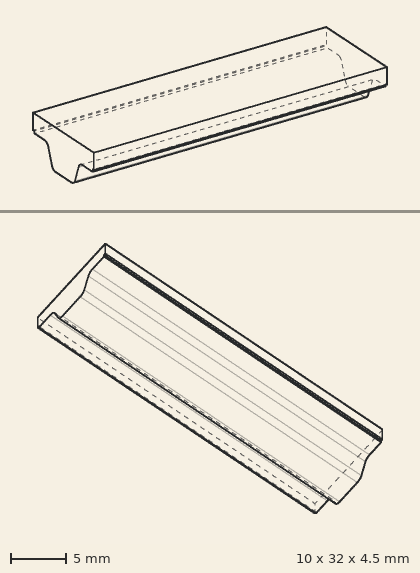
import cadquery as cq
import math

length = 32.0
width = 10.0
height = 4.5
plate_thickness = 2.0
step_width = 0.2
step_height = 0.25
tooth_base_width = 5.3
flank_angle = 20.0
tooth_radius = 0.65

half_width = width / 2
tooth_height = height - plate_thickness
base_half = tooth_base_width / 2
tip_half = base_half - tooth_height * math.tan(math.radians(flank_angle))


def extrude_profile(points):
    """Extrude a closed XZ outline along the length, centred on Y = 0."""
    return cq.Workplane("XZ").polyline(points).close().extrude(length / 2, both=True)


left_half = [
    (-half_width, 0),
    (-half_width, step_height - plate_thickness),
    (step_width - half_width, step_height - plate_thickness),
    (step_width - half_width, -plate_thickness),
    (-base_half, -plate_thickness),
    (-tip_half, -height),
]
right_half = [(-x, z) for x, z in reversed(left_half)]
belt = extrude_profile(left_half + right_half)

tooth_edges = belt.edges("|Y").filter(
    lambda edge: abs(edge.Center().x) < base_half + tooth_radius
)
result = tooth_edges.fillet(tooth_radius)